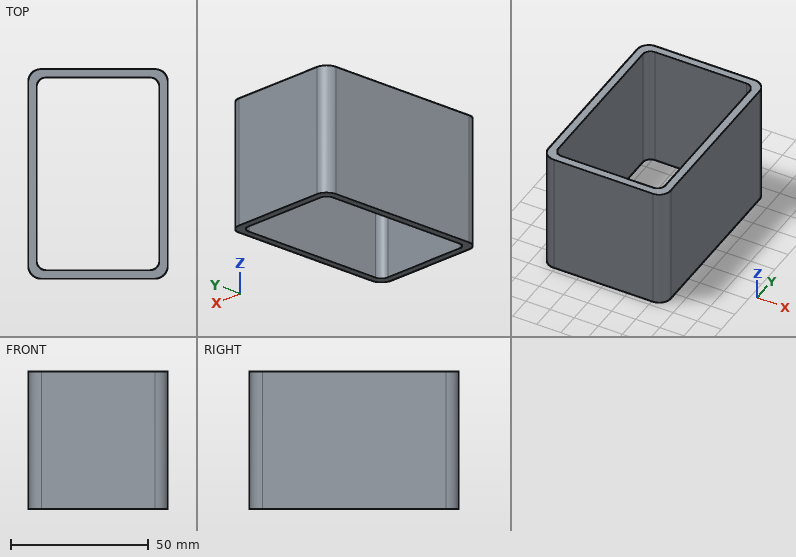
import cadquery as cq

width = 50.8
depth = 76.2
height = 50.0
wall = 3.2
outer_radius = 1.5 * wall
inner_radius = wall


def rounded_block(size_x, size_y, corner_radius):
    """Full-height block with its four vertical edges rounded."""
    block = cq.Workplane("XY").rect(size_x, size_y).extrude(height)
    return block.edges("|Z").fillet(corner_radius)


outer_body = rounded_block(width, depth, outer_radius)
through_opening = rounded_block(width - 2 * wall, depth - 2 * wall, inner_radius)

result = outer_body.cut(through_opening)